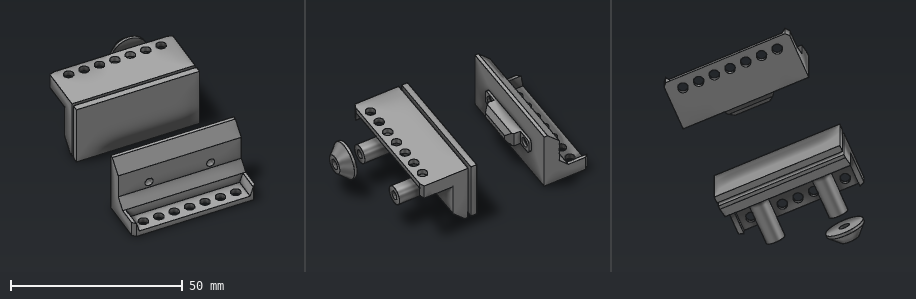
import cadquery as cq

total_length = 68.5
width = 40.0
height = 20.0
mid_height = height / 2
flange_thickness = 5.0
web_thickness = 1.85
recess_length = 7.0
fixing_spacing = width / 2
fixing_ys = (-fixing_spacing / 2, fixing_spacing / 2)

row_count = 7
row_pitch = 5.0
row_hole_diameter = 3.0

knob_length = 4.2
knob_cone_length = 3.2
knob_diameter = 12.0
knob_tip_diameter = 6.0
knob_bore = 3.2

post_start = 8.5
plate_start = 28.55
plate_thickness = 2.0
post_diameter = 6.0
post_bore = 2.75

slider_start = 12.1
slider_end = 27.55
slider_wall = 5.0
slider_foot_bevel = 3.9
slider_lip = 1.6
slider_corner_length = 0.6
post_clearance = 6.5
centre_hole_diameter = 2.6
slider_row_inset = 2.95

socket_start = 53.35
socket_wall = 5.15
socket_top_bevel = 4.0
socket_lip_top = 1.0
socket_lip_foot = 2.05
socket_corner_length = 1.15
socket_row_inset = 3.5
gusset = total_length - recess_length - socket_start - socket_wall
pilot_diameter = 2.6

key_start = 48.4
key_height = 4.9
key_block_width = 15.2
key_end_bevel = 2.05
key_side_bevel = 1.5
key_base_width = 25.1
key_base_thickness = 0.8
key_base_fillet = 0.95
key_hole_diameter = 3.0


def cross_plane(x):
    """Plane facing +X at x, level with the common centre height; local x is Y."""
    return cq.Workplane("YZ", origin=(x, 0, mid_height))


def x_cylinders(ys, diameter, start, end):
    """Cylinders along X, one at each y."""
    return cross_plane(start).pushPoints([(y, 0) for y in ys]).circle(diameter / 2).extrude(end - start)


def row_of_holes(x):
    """Vertical cutters in a row along Y, longer than any flange is thick."""
    return (
        cq.Workplane("XY")
        .center(x, 0)
        .rarray(0.7, row_pitch, 1, row_count)
        .circle(row_hole_diameter / 2)
        .extrude(height)
    )


def corner_cutters(edge_x, length, breadth, inward):
    """Triangular cutters for both corners of a flange edge; inward is +1 or -1 along X."""
    corner = (
        cq.Workplane("XY")
        .polyline([
            (edge_x, width / 2),
            (edge_x + inward * length, width / 2),
            (edge_x, width / 2 - breadth),
        ])
        .close()
        .extrude(height)
    )
    return corner.union(corner.mirror("XZ"))


def extrude_across(points):
    """Extrude an XZ outline over the full width."""
    return cq.Workplane("XZ").polyline(points).close().extrude(width / 2, both=True)


def make_knob():
    tip = knob_tip_diameter / 2
    rim = knob_diameter / 2
    bore = knob_bore / 2
    profile = [
        (0, bore),
        (0, tip),
        (knob_cone_length, rim),
        (knob_length, rim),
        (knob_length, bore),
    ]
    knob = cq.Workplane("XY").polyline(profile).close().revolve(360, (0, 0, 0), (1, 0, 0))
    return knob.translate((0, fixing_spacing / 2, mid_height))


def make_post_plate():
    plate = cross_plane(plate_start).rect(width, height).extrude(plate_thickness)
    posts = x_cylinders(fixing_ys, post_diameter, post_start, plate_start)
    bores = x_cylinders(fixing_ys, post_bore, post_start, plate_start)
    return plate.union(posts).cut(bores)


def make_slider():
    wall_x = slider_end - slider_wall
    flange_z = height - flange_thickness
    body = extrude_across([
        (slider_start, height),
        (slider_end, height),
        (slider_end, 0),
        (wall_x + slider_foot_bevel, 0),
        (wall_x, slider_foot_bevel),
        (wall_x, flange_z),
        (slider_start, flange_z),
    ])
    recess = cq.Workplane("XY").box(
        recess_length, width - 2 * slider_lip, flange_thickness - web_thickness, centered=(False, True, False)
    ).translate((slider_start, 0, flange_z))
    corners = corner_cutters(slider_start, slider_corner_length, slider_lip, 1)
    clearances = x_cylinders(fixing_ys, post_clearance, wall_x, slider_end)
    centre_hole = x_cylinders([0], centre_hole_diameter, wall_x, slider_end)
    body = body.cut(recess).cut(corners).cut(clearances).cut(centre_hole)
    return body.cut(row_of_holes(slider_start + slider_row_inset).translate((0, 0, mid_height)))


def make_socket():
    wall_x = socket_start + socket_wall
    recess_x = total_length - recess_length
    body = extrude_across([
        (socket_start, 0),
        (total_length, 0),
        (total_length, flange_thickness),
        (recess_x, flange_thickness),
        (wall_x, flange_thickness + gusset),
        (wall_x, height - socket_top_bevel),
        (wall_x - socket_top_bevel, height),
        (socket_start, height),
    ])
    lip_inner_y = width / 2 - socket_lip_top
    corners = corner_cutters(total_length, socket_corner_length, socket_lip_top, -1)
    floor_y = width / 2 - socket_lip_foot
    recess = (
        cq.Workplane("YZ", origin=(recess_x, 0, 0))
        .polyline([
            (-floor_y, web_thickness),
            (floor_y, web_thickness),
            (lip_inner_y, flange_thickness),
            (-lip_inner_y, flange_thickness),
        ])
        .close()
        .extrude(recess_length)
    )
    pilots = x_cylinders(fixing_ys, pilot_diameter, socket_start, wall_x)
    body = body.cut(corners).cut(recess).cut(pilots)
    return body.cut(row_of_holes(total_length - socket_row_inset))


def make_key():
    base_x = socket_start - key_base_thickness
    block = (
        cross_plane(key_start)
        .rect(key_block_width, key_height)
        .extrude(base_x - key_start)
    )
    block = block.faces("<X").edges("|Y").chamfer(key_side_bevel)
    half_width = key_block_width / 2
    end_cutter = (
        cq.Workplane("XY")
        .polyline([
            (key_start, half_width),
            (key_start + key_end_bevel, half_width),
            (key_start, half_width - key_end_bevel),
        ])
        .close()
        .extrude(height)
    )
    block = block.cut(end_cutter).cut(end_cutter.mirror("XZ"))
    base = cross_plane(base_x).rect(key_base_width, key_height).extrude(key_base_thickness)
    base = base.edges("|X").fillet(key_base_fillet)
    return base.union(block).cut(x_cylinders(fixing_ys, key_hole_diameter, base_x, socket_start))


knob = make_knob()
post_plate = make_post_plate()
slider = make_slider()
socket = make_socket()
key = make_key()

result = cq.Compound.makeCompound([
    knob.val(),
    post_plate.val(),
    slider.val(),
    socket.val(),
    key.val(),
])